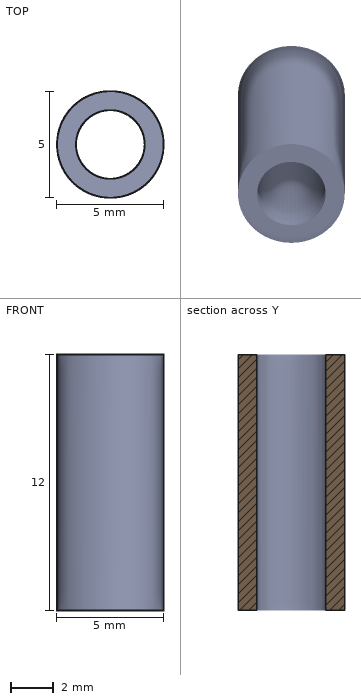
import cadquery as cq

length = 12.0
outer_diameter = 5.0
bore_diameter = 3.2

result = (
    cq.Workplane("XY")
    .circle(outer_diameter / 2)
    .circle(bore_diameter / 2)
    .extrude(length)
)